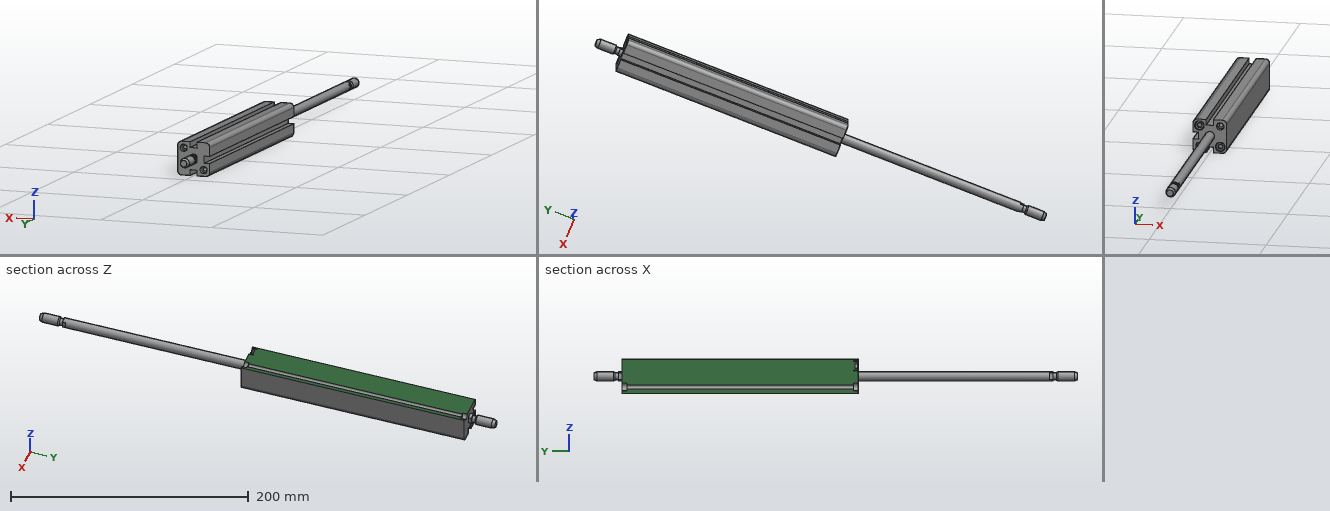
import cadquery as cq

TOTAL_LENGTH = 407.0
HALF_LENGTH = TOTAL_LENGTH / 2

ROD_DIAMETER = 8.0
NECK_DIAMETER = 6.0
TIP_DIAMETER = 5.5
TIP_LENGTH = 3.0
THREAD_LENGTH = 14.0
THREAD_TAPER_LENGTH = 1.2
NECK_LENGTH = 3.0
FLAT_LENGTH = 3.0
FLAT_SPACING = 6.0
ROD_END_LENGTH = TIP_LENGTH + THREAD_LENGTH + THREAD_TAPER_LENGTH + NECK_LENGTH + FLAT_LENGTH

BODY_SIZE = 29.0
BODY_LENGTH = 199.0
BODY_CORNER_RADIUS = 3.5
BODY_BACK = HALF_LENGTH - ROD_END_LENGTH
BODY_FRONT = BODY_BACK - BODY_LENGTH

SLOT_WIDTH = 6.0
SLOT_DEPTH = 5.0

HOLE_OFFSET = 9.0
THROUGH_DIAMETER = 3.3
COUNTERBORE_DIAMETER = 6.0
COUNTERBORE_DEPTH = 4.0
SCREW_RECESS_DIAMETER = 8.0
SCREW_HEAD_DIAMETER = 7.5
SCREW_SOCKET_DIAMETER = 4.0
SCREW_RECESS_DEPTH = 4.0
SCREW_HEAD_HEIGHT = 3.3
SCREW_SOCKET_DEPTH = 2.0


def cylinder(diameter, y_start, y_end, x=0.0, z=0.0):
    """Cylinder parallel to Y from y_start up to y_end."""
    axis = cq.Vector(0, 1, 0)
    start = cq.Vector(x, y_start, z)
    return cq.Workplane(cq.Solid.makeCylinder(diameter / 2, y_end - y_start, start, axis))


def box(x_size, z_size, y_start, y_end, x=0.0, z=0.0):
    """Box centred on (x, z) from y_start up to y_end."""
    center = (x, (y_start + y_end) / 2, z)
    return cq.Workplane().box(x_size, y_end - y_start, z_size).translate(center)


def make_body():
    """Rounded square bar with slots on three sides and a plain right side."""
    body = box(BODY_SIZE, BODY_SIZE, BODY_FRONT, BODY_BACK).edges("|Y").fillet(BODY_CORNER_RADIUS)
    slot_center = (BODY_SIZE - SLOT_DEPTH) / 2
    for side in (-1, 1):
        body = body.cut(box(SLOT_WIDTH, SLOT_DEPTH, BODY_FRONT, BODY_BACK, z=side * slot_center))
    return body.cut(box(SLOT_DEPTH, SLOT_WIDTH, BODY_FRONT, BODY_BACK, x=-slot_center))


def cut_through_hole(body, x, z):
    """Through hole with a counterbore at both ends."""
    body = body.cut(cylinder(THROUGH_DIAMETER, BODY_FRONT, BODY_BACK, x, z))
    body = body.cut(cylinder(COUNTERBORE_DIAMETER, BODY_FRONT, BODY_FRONT + COUNTERBORE_DEPTH, x, z))
    return body.cut(cylinder(COUNTERBORE_DIAMETER, BODY_BACK - COUNTERBORE_DEPTH, BODY_BACK, x, z))


def add_recessed_screw(body, x, z):
    """Socket-head screw sunk into the front face."""
    recess_floor = BODY_FRONT + SCREW_RECESS_DEPTH
    head_face = recess_floor - SCREW_HEAD_HEIGHT
    body = body.cut(cylinder(SCREW_RECESS_DIAMETER, BODY_FRONT, recess_floor, x, z))
    body = body.union(cylinder(SCREW_HEAD_DIAMETER, head_face, recess_floor, x, z))
    return body.cut(cylinder(SCREW_SOCKET_DIAMETER, head_face, head_face + SCREW_SOCKET_DEPTH, x, z))


def make_rod_end():
    """Tapered tip, thread, neck and wrench flats at the front end of the rod."""
    rod_radius = ROD_DIAMETER / 2
    neck_radius = NECK_DIAMETER / 2
    thread_start = -HALF_LENGTH + TIP_LENGTH
    thread_end = thread_start + THREAD_LENGTH
    neck_start = thread_end + THREAD_TAPER_LENGTH
    flat_start = neck_start + NECK_LENGTH
    flat_end = flat_start + FLAT_LENGTH
    half_profile = [
        (0, -HALF_LENGTH),
        (TIP_DIAMETER / 2, -HALF_LENGTH),
        (rod_radius, thread_start),
        (rod_radius, thread_end),
        (neck_radius, neck_start),
        (neck_radius, flat_start),
        (0, flat_start),
    ]
    end = cq.Workplane("XY").polyline(half_profile).close().revolve(360, (0, 0, 0), (0, 1, 0))
    flats = cylinder(ROD_DIAMETER, flat_start, flat_end)
    flats = flats.intersect(box(FLAT_SPACING, ROD_DIAMETER, flat_start, flat_end))
    return end.union(flats)


body = make_body()
for side in (-1, 1):
    body = cut_through_hole(body, side * HOLE_OFFSET, side * HOLE_OFFSET)
    body = add_recessed_screw(body, side * HOLE_OFFSET, -side * HOLE_OFFSET)

rod = cylinder(ROD_DIAMETER, -HALF_LENGTH + ROD_END_LENGTH, HALF_LENGTH - ROD_END_LENGTH)
front_end = make_rod_end()
result = body.union(rod).union(front_end).union(front_end.mirror("XZ"))